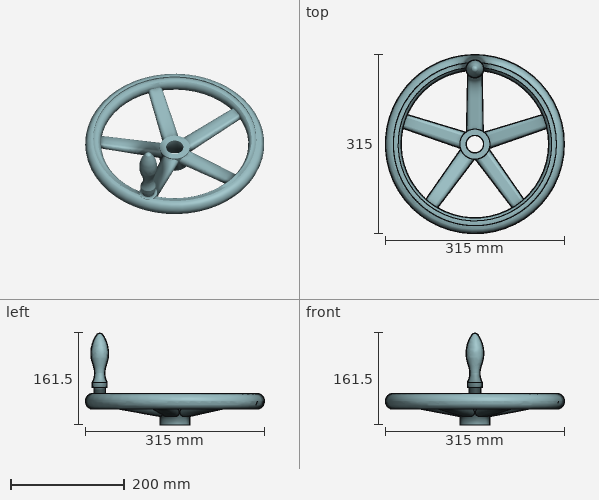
import cadquery as cq
import math

rim_outer_radius = 157.5
rim_height = 28.0
rim_section_radius = rim_height / 2
rim_center_radius = rim_outer_radius - rim_section_radius
rim_center_z = 42.0
rim_top_z = rim_center_z + rim_section_radius
recess_depth = 2.8

hub_radius = 26.5
hub_height = 33.0
bore_radius = 15.0

spoke_count = 5
spoke_flat_width = 14.2
spoke_start_radius = 19.0
spoke_end_radius = 138.5
spoke_start_thickness = 16.0
spoke_end_thickness = 11.0
spoke_start_z = 21.7
spoke_end_z = 41.0

handle_y = 132.3
boss_radius = 15.8
boss_height = 25.0

handle_top_z = 161.5
stem_radius = 10.5
collar_radius = 13.2
collar_bottom_z = 66.5
collar_top_z = 75.0
neck_radius = 9.0
neck_z = 91.0
grip_bottom_radius = 11.3
grip_bottom_z = 104.3
grip_max_radius = 15.8
grip_max_z = 126.5
grip_top_radius = 5.0
cap_height = 2.2


def make_rim():
    ring = cq.Workplane(cq.Solid.makeTorus(
        rim_center_radius, rim_section_radius, cq.Vector(0, 0, rim_center_z)))
    recess = (
        cq.Workplane("XY")
        .workplane(offset=rim_top_z - recess_depth)
        .circle(rim_center_radius)
        .extrude(2 * recess_depth)
    )
    return ring.cut(recess)


def spoke_section(radius, z, thickness):
    """Slot-shaped wire standing across the +Y axis at the given radius."""
    plane = cq.Plane(origin=(0, radius, z), xDir=(1, 0, 0), normal=(0, 1, 0))
    return cq.Workplane(plane).slot2D(spoke_flat_width + thickness, thickness).val()


def make_spoke():
    start = spoke_section(spoke_start_radius, spoke_start_z, spoke_start_thickness)
    end = spoke_section(spoke_end_radius, spoke_end_z, spoke_end_thickness)
    return cq.Workplane(cq.Solid.makeLoft([start, end], True))


def make_boss():
    return (
        cq.Workplane("XY", origin=(0, handle_y, rim_top_z - boss_height))
        .circle(boss_radius)
        .extrude(boss_height)
    )


def neck_arc_middle(end_radius, end_z):
    """Middle point of an arc that leaves the neck parallel to the handle axis."""
    widening = end_radius - neck_radius
    length = end_z - neck_z
    arc_radius = (widening**2 + length**2) / (2 * widening)
    half_angle = math.atan(widening / length)
    return (
        neck_radius + arc_radius * (1 - math.cos(half_angle)),
        neck_z + arc_radius * math.sin(half_angle),
    )


def make_handle():
    """Turned handle: stem, collar, waisted neck, bulging grip and domed cap."""
    stem_bottom_z = rim_top_z - boss_height / 2
    cap_sphere_radius = (grip_top_radius**2 + cap_height**2) / (2 * cap_height)
    cap_half_angle = math.atan2(cap_height, grip_top_radius)
    cap_middle = (
        cap_sphere_radius * math.sin(cap_half_angle),
        handle_top_z - cap_sphere_radius * (1 - math.cos(cap_half_angle)),
    )
    profile = (
        cq.Workplane("XZ", origin=(0, handle_y, 0))
        .moveTo(0, stem_bottom_z)
        .lineTo(stem_radius, stem_bottom_z)
        .lineTo(stem_radius, collar_bottom_z)
        .lineTo(collar_radius, collar_bottom_z)
        .lineTo(collar_radius, collar_top_z)
        .threePointArc(neck_arc_middle(collar_radius, collar_top_z), (neck_radius, neck_z))
        .threePointArc(
            neck_arc_middle(grip_bottom_radius, grip_bottom_z),
            (grip_bottom_radius, grip_bottom_z),
        )
        .threePointArc(
            (grip_max_radius, grip_max_z),
            (grip_top_radius, handle_top_z - cap_height),
        )
        .threePointArc(cap_middle, (0, handle_top_z))
        .close()
    )
    return profile.revolve(360, (0, 0), (0, 1))


result = cq.Workplane("XY").circle(hub_radius).extrude(hub_height)
first_spoke = make_spoke()
for index in range(spoke_count):
    spoke = first_spoke.rotate((0, 0, 0), (0, 0, 1), index * 360 / spoke_count)
    result = result.union(spoke)
result = result.union(make_rim())
result = result.union(make_boss())
result = result.union(make_handle())
result = result.cut(cq.Workplane("XY").circle(bore_radius).extrude(hub_height))